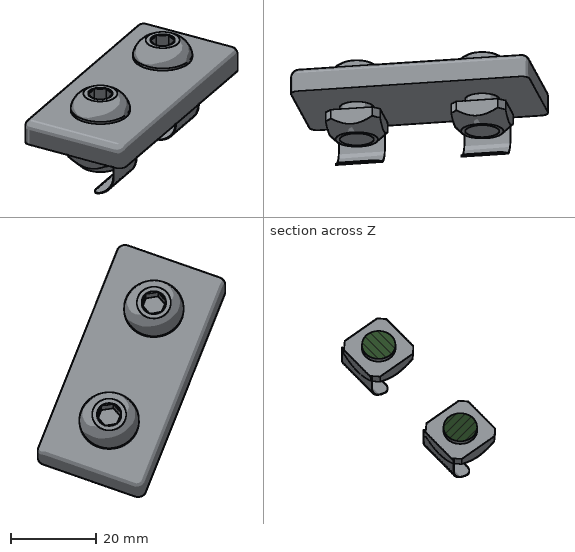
import cadquery as cq
import math


PLATE_WIDTH = 27.0
PLATE_LENGTH = 57.0
PLATE_THICKNESS = 6.0
EDGE_RADIUS = 2.0

SCREW_SPACING = 30.0
SHANK_RADIUS = 4.0
HEAD_RADIUS = 7.0
HEAD_TOP_RADIUS = 4.0
HEAD_HEIGHT = 4.4
HEAD_RIM_HEIGHT = 0.6
HEAD_DOME_BULGE = 0.55
SOCKET_FLATS = 5.0
SOCKET_DEPTH = 3.0
SOCKET_CONE_ANGLE = 30.0

NUT_WIDTH = 13.0
NUT_HEIGHT = 5.4
NUT_TOP_Z = -8.55
NUT_CORNER_CHAMFER = 1.55
NUT_BOTTOM_RADIUS = 4.95

SPRING_THICKNESS = 0.2
SPRING_WIDTH = 11.0
SPRING_BEND_RADIUS = 5.8
SPRING_BOTTOM_Z = -19.3
SPRING_TIP_RADIUS = 1.7

NUT_BOTTOM_Z = NUT_TOP_Z - NUT_HEIGHT
SCREW_POSITIONS = [(0, -SCREW_SPACING / 2), (0, SCREW_SPACING / 2)]


def make_plate():
    """Plate with rounded upright edges and top edge, and a close-fitting hole for each screw."""
    plate = cq.Workplane("XY").box(
        PLATE_WIDTH, PLATE_LENGTH, PLATE_THICKNESS, centered=(True, True, False)
    )
    plate = plate.translate((0, 0, -PLATE_THICKNESS))
    plate = plate.edges("|Z").fillet(EDGE_RADIUS)
    plate = plate.faces(">Z").edges().fillet(EDGE_RADIUS)
    holes = (
        cq.Workplane("XY")
        .pushPoints(SCREW_POSITIONS)
        .circle(SHANK_RADIUS)
        .extrude(-PLATE_THICKNESS)
    )
    return plate.cut(holes)


def make_socket():
    """Hexagonal socket with a conical lead-in as wide as the hexagon's corners."""
    corner_radius = SOCKET_FLATS / math.sqrt(3)
    hexagon = (
        cq.Workplane("XY", origin=(0, 0, HEAD_HEIGHT))
        .polygon(6, 2 * corner_radius)
        .extrude(-SOCKET_DEPTH)
        .rotate((0, 0, 0), (0, 0, 1), 90)
    )
    cone_depth = corner_radius * math.tan(math.radians(SOCKET_CONE_ANGLE))
    lead_in = (
        cq.Workplane("XZ")
        .moveTo(0, HEAD_HEIGHT - cone_depth)
        .lineTo(corner_radius, HEAD_HEIGHT)
        .lineTo(0, HEAD_HEIGHT)
        .close()
        .revolve(360, (0, 0, 0), (0, 1, 0))
    )
    return hexagon.union(lead_in)


def make_screw():
    """Button-head screw on the Z axis, its shank ending flush with the bottom of the nut."""
    body = (
        cq.Workplane("XZ")
        .moveTo(0, NUT_BOTTOM_Z)
        .lineTo(SHANK_RADIUS, NUT_BOTTOM_Z)
        .lineTo(SHANK_RADIUS, 0)
        .lineTo(HEAD_RADIUS, 0)
        .lineTo(HEAD_RADIUS, HEAD_RIM_HEIGHT)
        .sagittaArc((HEAD_TOP_RADIUS, HEAD_HEIGHT), -HEAD_DOME_BULGE)
        .lineTo(0, HEAD_HEIGHT)
        .close()
        .revolve(360, (0, 0, 0), (0, 1, 0))
    )
    return body.cut(make_socket())


def make_nut_block():
    """Bored square block with chamfered upright edges, tapered below by a 45 degree cone."""
    square = (
        cq.Workplane("XY", origin=(0, 0, NUT_BOTTOM_Z))
        .rect(NUT_WIDTH, NUT_WIDTH)
        .extrude(NUT_HEIGHT)
        .edges("|Z")
        .chamfer(NUT_CORNER_CHAMFER)
    )
    top_radius = NUT_BOTTOM_RADIUS + NUT_HEIGHT
    taper = (
        cq.Workplane("XZ")
        .moveTo(SHANK_RADIUS, NUT_BOTTOM_Z)
        .lineTo(NUT_BOTTOM_RADIUS, NUT_BOTTOM_Z)
        .lineTo(top_radius, NUT_TOP_Z)
        .lineTo(SHANK_RADIUS, NUT_TOP_Z)
        .close()
        .revolve(360, (0, 0, 0), (0, 1, 0))
    )
    return square.intersect(taper)


def make_spring():
    """Thin strip on the +X face of the nut, curling a quarter turn under it to a rounded tip."""
    inner_x = NUT_WIDTH / 2
    outer_x = inner_x + SPRING_THICKNESS
    bend_x = outer_x - SPRING_BEND_RADIUS
    bend_z = SPRING_BOTTOM_Z + SPRING_BEND_RADIUS
    inner_radius = SPRING_BEND_RADIUS - SPRING_THICKNESS
    diagonal = math.sqrt(0.5)
    strip = (
        cq.Workplane("XZ")
        .moveTo(inner_x, NUT_TOP_Z)
        .lineTo(outer_x, NUT_TOP_Z)
        .lineTo(outer_x, bend_z)
        .threePointArc(
            (bend_x + SPRING_BEND_RADIUS * diagonal, bend_z - SPRING_BEND_RADIUS * diagonal),
            (bend_x, SPRING_BOTTOM_Z),
        )
        .lineTo(bend_x, SPRING_BOTTOM_Z + SPRING_THICKNESS)
        .threePointArc(
            (bend_x + inner_radius * diagonal, bend_z - inner_radius * diagonal),
            (inner_x, bend_z),
        )
        .close()
        .extrude(SPRING_WIDTH / 2, both=True)
    )
    tip_outline = (
        cq.Workplane("XY", origin=(0, 0, SPRING_BOTTOM_Z))
        .rect(2 * (outer_x - bend_x), SPRING_WIDTH)
        .extrude(NUT_TOP_Z - SPRING_BOTTOM_Z)
        .translate((outer_x, 0, 0))
        .edges("|Z and <X")
        .fillet(SPRING_TIP_RADIUS)
    )
    return strip.intersect(tip_outline)


def make_nut():
    """Nut block and its leaf spring as one solid."""
    return make_nut_block().union(make_spring())


plate = make_plate()
screws = []
nuts = []
for x, y in SCREW_POSITIONS:
    screws.append(make_screw().translate((x, y, 0)).val())
    nuts.append(make_nut().translate((x, y, 0)).val())

result = cq.Compound.makeCompound([plate.val(), *screws, *nuts])